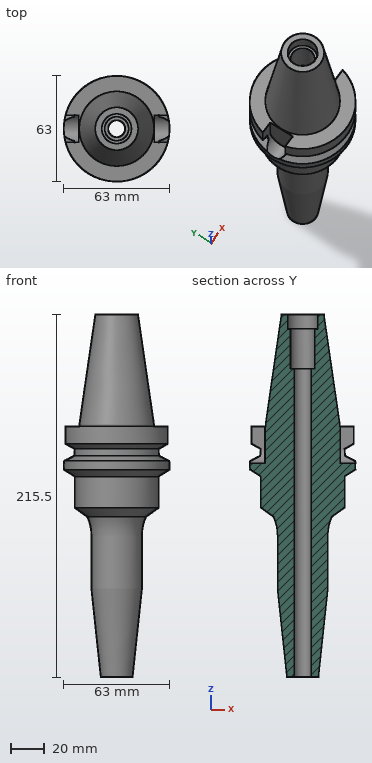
import cadquery as cq

total_length = 215.5
flange_radius = 31.5

nose_tip_radius = 9.5
shank_radius = 15.0
nose_length = 52.5
shank_top = 84.2
flare_top = 95.2
flare_radius = 17.5

body_radius = 25.0
body_bottom = 100.5
body_top = 119.1

flange_bottom = 123.2
groove_lower_lip = 128.4
groove_floor_bottom = 131.5
groove_floor_top = 135.5
groove_upper_lip = 138.5
flange_top = 148.8
groove_radius = 26.3

taper_bottom = 150.1
taper_base_radius = 22.2
taper_top_radius = 12.7

slot_width = 16.2
slot_floor_offset = 22.5
slot_bottom = 127.0

mouth_radius = 8.8
mouth_depth = 8.6
step_radius = 7.1
step_depth = 32.3
through_radius = 5.0


def make_body():
    """Revolve the outer half profile about Z."""
    profile = (
        cq.Workplane("XZ")
        .lineTo(nose_tip_radius, 0)
        .lineTo(shank_radius, nose_length)
        .lineTo(shank_radius, shank_top)
        .tangentArcPoint((flare_radius, flare_top), relative=False)
        .lineTo(body_radius, body_bottom)
        .lineTo(body_radius, body_top)
        .lineTo(flange_radius, flange_bottom)
        .lineTo(flange_radius, groove_lower_lip)
        .lineTo(groove_radius, groove_floor_bottom)
        .lineTo(groove_radius, groove_floor_top)
        .lineTo(flange_radius, groove_upper_lip)
        .lineTo(flange_radius, flange_top)
        .lineTo(taper_base_radius, flange_top)
        .lineTo(taper_base_radius, taper_bottom)
        .lineTo(taper_top_radius, total_length)
        .lineTo(0, total_length)
        .close()
    )
    return profile.revolve(360, (0, 0, 0), (0, 1, 0))


def make_drive_slot(side):
    """Round-bottomed slot cutter, open at the flange top, on the +X or -X side."""
    slot_radius = slot_width / 2
    arc_center_z = slot_bottom + slot_radius
    return (
        cq.Workplane("YZ", origin=(side * slot_floor_offset, 0, 0))
        .moveTo(-slot_radius, flange_top)
        .lineTo(-slot_radius, arc_center_z)
        .threePointArc((0, slot_bottom), (slot_radius, arc_center_z))
        .lineTo(slot_radius, flange_top)
        .close()
        .extrude(side * flange_radius)
    )


def make_bore(radius, depth):
    """Cylinder reaching down from the top face."""
    return cq.Workplane("XY", origin=(0, 0, total_length)).circle(radius).extrude(-depth)


result = make_body()
for side in (-1, 1):
    result = result.cut(make_drive_slot(side))
for radius, depth in (
    (mouth_radius, mouth_depth),
    (step_radius, step_depth),
    (through_radius, total_length),
):
    result = result.cut(make_bore(radius, depth))